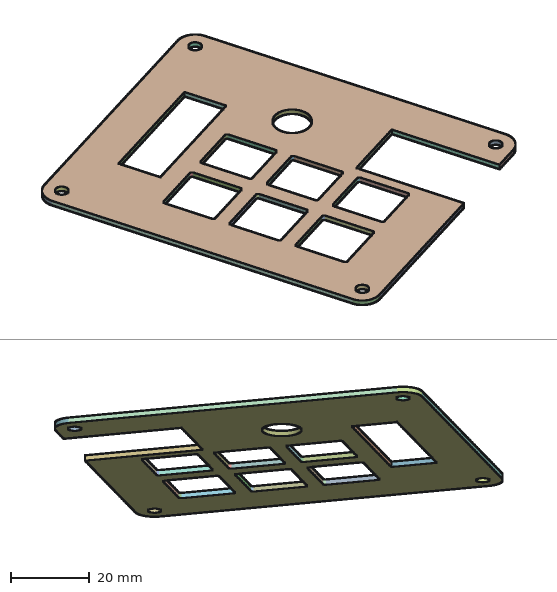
import cadquery as cq

length = 96.9
width = 80.2
thickness = 1.5
corner_radius = 5.0

mount_diameter = 3.4
mount_spacing_x = length - 2 * corner_radius
mount_spacing_y = width - 2 * corner_radius

dial_diameter = 10.0
dial_x = -6.5
dial_y = 18.9

window_width = 12.0
window_height = 34.7
window_x = -30.3
window_y = -0.7

notch_left = 17.3
notch_bottom = 9.3
notch_height = 18.6
notch_depth = length / 2 - notch_left

key_width = 14.8
key_pitch = 19.1
key_columns = 3
middle_key_x = 7.9
key_corner_radius = 0.6
upper_key_height = 13.85
upper_key_y = -0.8
lower_key_height = 14.9
lower_key_y = -19.8


def rectangular_cutter(x, y, size_x, size_y):
    """Block through the plate thickness, centred at (x, y)."""
    return cq.Workplane("XY").center(x, y).rect(size_x, size_y).extrude(thickness)


def key_row(y, height):
    """Cutters for one row of key openings with rounded corners."""
    row = cq.Workplane("XY")
    for column in range(key_columns):
        x = middle_key_x + (column - (key_columns - 1) / 2) * key_pitch
        key = rectangular_cutter(x, y, key_width, height)
        row = row.add(key.edges("|Z").fillet(key_corner_radius))
    return row.combine()


plate = cq.Workplane("XY").rect(length, width).extrude(thickness)
plate = plate.edges("|Z").fillet(corner_radius)

mount_holes = (
    cq.Workplane("XY")
    .rect(mount_spacing_x, mount_spacing_y, forConstruction=True)
    .vertices()
    .circle(mount_diameter / 2)
    .extrude(thickness)
)
dial_hole = cq.Workplane("XY").center(dial_x, dial_y).circle(dial_diameter / 2).extrude(thickness)
window = rectangular_cutter(window_x, window_y, window_width, window_height)
notch = rectangular_cutter(
    notch_left + notch_depth / 2, notch_bottom + notch_height / 2, notch_depth, notch_height
)

result = plate.cut(mount_holes).cut(dial_hole).cut(window).cut(notch)
result = result.cut(key_row(upper_key_y, upper_key_height))
result = result.cut(key_row(lower_key_y, lower_key_height))